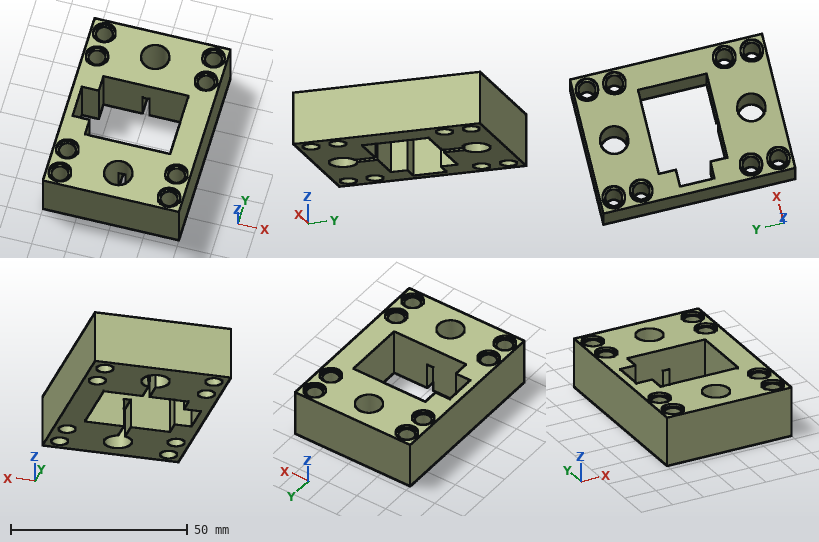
import cadquery as cq

width = 40.0
length = 56.0
height = 15.4

window_width = 25.0
window_length = 20.0
notch_depth = 5.0
notch_length = 10.0

rod_diameter = 8.0
rod_offset = 20.0

screw_diameter = 4.8
counterbore_diameter = 6.4
counterbore_depth = 0.85
screw_offset_x = 16.0
screw_offsets_y = (16.0, 24.0)

slit_width = 2.0
slit_height = 8.7


def make_block():
    return cq.Workplane("XY").box(width, length, height)


def make_window():
    main = cq.Workplane("XY").box(window_width, window_length, height)
    notch = (
        cq.Workplane("XY")
        .center(-window_width / 2, 0)
        .box(2 * notch_depth, notch_length, height)
    )
    return main.union(notch)


def make_slits():
    """One bar across the open window, from one rod hole axis to the other."""
    return (
        cq.Workplane("XY")
        .workplane(offset=-height / 2)
        .rect(slit_width, 2 * rod_offset)
        .extrude(slit_height)
    )


rod_points = [(0, side * rod_offset) for side in (-1, 1)]
screw_points = [
    (side_x * screw_offset_x, side_y * offset_y)
    for side_x in (-1, 1)
    for side_y in (-1, 1)
    for offset_y in screw_offsets_y
]

result = make_block().cut(make_window()).cut(make_slits())
result = result.faces(">Z").workplane(origin=(0, 0, 0)).pushPoints(rod_points).hole(rod_diameter)
result = (
    result.faces(">Z")
    .workplane(origin=(0, 0, 0))
    .pushPoints(screw_points)
    .cboreHole(screw_diameter, counterbore_diameter, counterbore_depth)
)